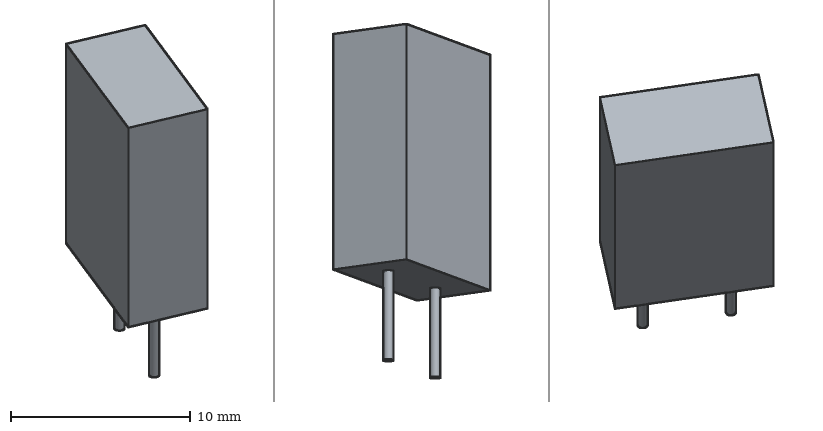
import cadquery as cq

HOUSING_WIDTH = 9.0
HOUSING_DEPTH = 4.8
TOTAL_HEIGHT = 18.6

PIN_DIAMETER = 0.6
PIN_LENGTH = 5.1
PIN_SPACING = 5.0

HOUSING_HEIGHT = TOTAL_HEIGHT - PIN_LENGTH


def make_housing():
    """Plain rectangular block standing on the plane Z = 0."""
    return cq.Workplane("XY").box(
        HOUSING_WIDTH, HOUSING_DEPTH, HOUSING_HEIGHT, centered=(True, True, False)
    )


def make_pin(x):
    """Round lead hanging from the underside of the housing at the given X."""
    return cq.Workplane("XY").center(x, 0).circle(PIN_DIAMETER / 2).extrude(-PIN_LENGTH)


housing = make_housing()
pins = [make_pin(side * PIN_SPACING / 2) for side in (-1, 1)]

result = cq.Compound.makeCompound([housing.val(), *[pin.val() for pin in pins]])